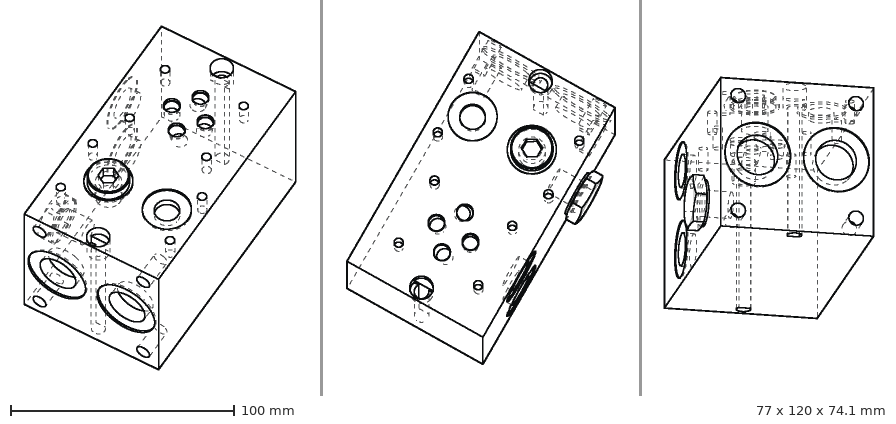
import cadquery as cq
import math

INTO_X = (1, 0, 0)
OUT_X = (-1, 0, 0)
INTO_Y = (0, 1, 0)
UP = (0, 0, 1)
DOWN = (0, 0, -1)

BLOCK_X = 70.0
BLOCK_Y = 120.0
BLOCK_Z = 70.0
MID_X = BLOCK_X / 2
MID_Z = BLOCK_Z / 2

SUPPLY_PITCH = 36.0
SUPPLY_SPOTFACE_DIAMETER = 30.0
SUPPLY_SPOTFACE_DEPTH = 1.0
SUPPLY_BORE_DIAMETER = 18.63
SUPPLY_BORE_DEPTH = 8.0

FLANGE_HOLE_PITCH = 54.0
FLANGE_HOLE_DIAMETER = 6.65
FLANGE_HOLE_DEPTH = 15.0

OUTLET_Y = 85.0
OUTLET_PITCH = 37.0
OUTLET_SPOTFACE_DIAMETER = 26.0
OUTLET_SPOTFACE_DEPTH = 0.5
OUTLET_BORE_DIAMETER = 14.95
OUTLET_BORE_DEPTH = 5.5

TOP_PORT_Y = 35.0
GAUGE_X = 53.5
TOP_SPOTFACE_DIAMETER = 22.0
TOP_SPOTFACE_DEPTH = 1.0
GAUGE_BORE_DIAMETER = 11.45
GAUGE_BORE_DEPTH = 4.5
PLUG_BORE_DIAMETER = 12.0
PLUG_BORE_DEPTH = 12.0

VALVE_X = MID_X
VALVE_Y = OUTLET_Y
VALVE_SCREW_OFFSETS = [(-21.5, -15.5), (-21.5, 15.5), (19.0, -16.25), (19.0, 16.25)]
SCREW_DIAMETER = 4.13
SCREW_DEPTH = 10.0
VALVE_PORT_DIAMETER = 7.5
VALVE_PORT_DEPTH = 1.6
CHANNEL_DIAMETER = 7.0
CHANNEL_FLOOR_DEPTH = 7.0
VALVE_PT_OFFSET_Y = 10.4
VALVE_AB_OFFSET_X = 8.75
PT_TILT = 15.0
B_TILT = 7.0
VALVE_PORTS = [
    (0, VALVE_PT_OFFSET_Y, -PT_TILT),
    (0, -VALVE_PT_OFFSET_Y, PT_TILT),
    (-VALVE_AB_OFFSET_X, 0, 0),
    (VALVE_AB_OFFSET_X, 0, -B_TILT),
]

COVER_PITCH_X = 57.0
COVER_PITCH_Y = 28.0

MOUNT_INSET = 6.0
MOUNT_HOLE_DIAMETER = 6.5
MOUNT_COUNTERBORE_DIAMETER = 10.5
MOUNT_COUNTERBORE_DEPTH = 10.0
MOUNT_SHELF_DEPTH = 5.0
MOUNT_SHELF_OFFSET = 2.0

HEX_PLUG_Y = TOP_PORT_Y
HEX_PLUG_Z = 22.0
HEX_HEAD_FLATS = 22.0
HEX_HEAD_LENGTH = 6.0
HEX_FACE_DIAMETER = 21.0
HEX_CHAMFER_LENGTH = 0.6
RING_DIAMETER = 21.0
RING_THICKNESS = 1.0
HEX_SHANK_DIAMETER = 12.0
HEX_SHANK_DEPTH = 12.0

SOCKET_PLUG_X = 23.0
SOCKET_HEAD_DIAMETER = 19.0
SOCKET_HEAD_PROUD = 4.1
SOCKET_HEAD_CHAMFER = 0.5
SOCKET_FLATS = 8.0
SOCKET_DEPTH = 6.0


def hexagon_diameter(flats):
    """Corner-to-corner size of a hexagon measured across its flats."""
    return flats / math.cos(math.pi / 6)


def rectangle_corners(pitch_x, pitch_y):
    """Four offsets at the corners of a rectangle around the origin."""
    return [(sx * pitch_x / 2, sy * pitch_y / 2) for sx in (-1, 1) for sy in (-1, 1)]


def bore(origin, direction, diameter, depth):
    """Solid cylinder that starts at origin and runs along direction."""
    return cq.Workplane(
        cq.Solid.makeCylinder(diameter / 2, depth, cq.Vector(*origin), cq.Vector(*direction))
    )


def port(origin, direction, spotface, blind_bore):
    """Blind bore with a shallow spotface; each is given as (diameter, depth from the face)."""
    return bore(origin, direction, *spotface).union(bore(origin, direction, *blind_bore))


def supply_face_cuts():
    """Ports T and P and the flange screw holes, all along +Y."""
    spotface = (SUPPLY_SPOTFACE_DIAMETER, SUPPLY_SPOTFACE_DEPTH)
    blind_bore = (SUPPLY_BORE_DIAMETER, SUPPLY_BORE_DEPTH)
    cuts = []
    for side in (-1, 1):
        origin = (MID_X + side * SUPPLY_PITCH / 2, 0, MID_Z)
        cuts.append(port(origin, INTO_Y, spotface, blind_bore))
    for dx, dz in rectangle_corners(FLANGE_HOLE_PITCH, FLANGE_HOLE_PITCH):
        origin = (MID_X + dx, 0, MID_Z + dz)
        cuts.append(bore(origin, INTO_Y, FLANGE_HOLE_DIAMETER, FLANGE_HOLE_DEPTH))
    return cuts


def outlet_face_cuts():
    """Ports A and B, and the shank hole of the hexagon-head plug, all along +X."""
    spotface = (OUTLET_SPOTFACE_DIAMETER, OUTLET_SPOTFACE_DEPTH)
    blind_bore = (OUTLET_BORE_DIAMETER, OUTLET_BORE_DEPTH)
    cuts = []
    for side in (-1, 1):
        origin = (0, OUTLET_Y, MID_Z + side * OUTLET_PITCH / 2)
        cuts.append(port(origin, INTO_X, spotface, blind_bore))
    cuts.append(bore((0, HEX_PLUG_Y, HEX_PLUG_Z), INTO_X, HEX_SHANK_DIAMETER, HEX_SHANK_DEPTH))
    return cuts


def valve_port(dx, dy, tilt):
    """Short upright hole, carried on by a tilted channel that ends at a level floor."""
    x = VALVE_X + dx
    y = VALVE_Y + dy
    mouth = bore((x, y, BLOCK_Z), DOWN, VALVE_PORT_DIAMETER, VALVE_PORT_DEPTH)
    lean = math.radians(tilt)
    direction = (math.sin(lean), 0, -math.cos(lean))
    start = (x - VALVE_PORT_DEPTH * math.tan(lean), y, BLOCK_Z)
    channel = bore(start, direction, CHANNEL_DIAMETER, 2 * CHANNEL_FLOOR_DEPTH)
    level_slab = (
        cq.Workplane("XY", origin=(x, y, BLOCK_Z - VALVE_PORT_DEPTH))
        .rect(BLOCK_X, BLOCK_Y)
        .extrude(VALVE_PORT_DEPTH - CHANNEL_FLOOR_DEPTH)
    )
    return mouth.union(channel.intersect(level_slab))


def mounting_hole(y, inward):
    """Counterbored through hole, half closed by a D-shaped shelf towards the block centre."""
    origin = (MID_X, y, BLOCK_Z)
    hole = bore(origin, DOWN, MOUNT_HOLE_DIAMETER, BLOCK_Z).union(
        bore(origin, DOWN, MOUNT_COUNTERBORE_DIAMETER, MOUNT_COUNTERBORE_DEPTH)
    )
    shelf_y = y + inward * (MOUNT_SHELF_OFFSET + MOUNT_COUNTERBORE_DIAMETER / 2)
    shelf = (
        cq.Workplane("XY", origin=(MID_X, shelf_y, 0))
        .rect(MOUNT_COUNTERBORE_DIAMETER, MOUNT_COUNTERBORE_DIAMETER)
        .extrude(BLOCK_Z - MOUNT_SHELF_DEPTH)
    )
    return hole.cut(shelf)


def top_face_cuts():
    """Valve pattern, gauge port, socket plug port, cover screws and mounting holes."""
    cuts = []
    for dx, dy in VALVE_SCREW_OFFSETS:
        cuts.append(bore((VALVE_X + dx, VALVE_Y + dy, BLOCK_Z), DOWN, SCREW_DIAMETER, SCREW_DEPTH))
    for dx, dy in rectangle_corners(COVER_PITCH_X, COVER_PITCH_Y):
        cuts.append(bore((MID_X + dx, TOP_PORT_Y + dy, BLOCK_Z), DOWN, SCREW_DIAMETER, SCREW_DEPTH))
    for dx, dy, tilt in VALVE_PORTS:
        cuts.append(valve_port(dx, dy, tilt))
    spotface = (TOP_SPOTFACE_DIAMETER, TOP_SPOTFACE_DEPTH)
    gauge_bore = (GAUGE_BORE_DIAMETER, GAUGE_BORE_DEPTH)
    plug_bore = (PLUG_BORE_DIAMETER, PLUG_BORE_DEPTH)
    cuts.append(port((GAUGE_X, TOP_PORT_Y, BLOCK_Z), DOWN, spotface, gauge_bore))
    cuts.append(port((SOCKET_PLUG_X, TOP_PORT_Y, BLOCK_Z), DOWN, spotface, plug_bore))
    cuts.append(mounting_hole(MOUNT_INSET, 1))
    cuts.append(mounting_hole(BLOCK_Y - MOUNT_INSET, -1))
    return cuts


def make_block():
    """Rectangular block with every port and hole cut from it."""
    block = cq.Workplane().box(BLOCK_X, BLOCK_Y, BLOCK_Z, centered=False)
    for tool in supply_face_cuts() + outlet_face_cuts() + top_face_cuts():
        block = block.cut(tool)
    return block


def make_sealing_ring():
    """Flat ring between the hexagon head and the block face."""
    ring = bore((0, HEX_PLUG_Y, HEX_PLUG_Z), OUT_X, RING_DIAMETER, RING_THICKNESS)
    hole = bore((0, HEX_PLUG_Y, HEX_PLUG_Z), OUT_X, HEX_SHANK_DIAMETER, RING_THICKNESS)
    return ring.cut(hole)


def make_hex_plug():
    """Hexagon head, chamfered round both ends, on a plain shank."""
    head = (
        cq.Workplane("YZ", origin=(-RING_THICKNESS, HEX_PLUG_Y, HEX_PLUG_Z))
        .polygon(6, hexagon_diameter(HEX_HEAD_FLATS))
        .extrude(-HEX_HEAD_LENGTH)
    )
    corner_radius = hexagon_diameter(HEX_HEAD_FLATS) / 2
    face_radius = HEX_FACE_DIAMETER / 2
    blank = (
        cq.Workplane("XY", origin=(-RING_THICKNESS, HEX_PLUG_Y, HEX_PLUG_Z))
        .moveTo(0, 0)
        .lineTo(0, face_radius)
        .lineTo(-HEX_CHAMFER_LENGTH, corner_radius)
        .lineTo(HEX_CHAMFER_LENGTH - HEX_HEAD_LENGTH, corner_radius)
        .lineTo(-HEX_HEAD_LENGTH, face_radius)
        .lineTo(-HEX_HEAD_LENGTH, 0)
        .close()
        .revolve(360, (0, 0, 0), (1, 0, 0))
    )
    shank = bore(
        (-RING_THICKNESS, HEX_PLUG_Y, HEX_PLUG_Z), INTO_X,
        HEX_SHANK_DIAMETER, RING_THICKNESS + HEX_SHANK_DEPTH,
    )
    return head.intersect(blank).union(shank)


def make_socket_plug():
    """Round chamfered head with a hexagon socket, seated in the spotface."""
    seat_z = BLOCK_Z - TOP_SPOTFACE_DEPTH
    top_z = BLOCK_Z + SOCKET_HEAD_PROUD
    head = bore(
        (SOCKET_PLUG_X, TOP_PORT_Y, seat_z), UP, SOCKET_HEAD_DIAMETER, top_z - seat_z
    ).faces(">Z").chamfer(SOCKET_HEAD_CHAMFER)
    shank = bore(
        (SOCKET_PLUG_X, TOP_PORT_Y, seat_z), DOWN,
        PLUG_BORE_DIAMETER, PLUG_BORE_DEPTH - TOP_SPOTFACE_DEPTH,
    )
    socket = (
        cq.Workplane("XY", origin=(SOCKET_PLUG_X, TOP_PORT_Y, top_z))
        .transformed(rotate=(0, 0, 90))
        .polygon(6, hexagon_diameter(SOCKET_FLATS))
        .extrude(-SOCKET_DEPTH)
    )
    return head.union(shank).cut(socket)


block = make_block()
sealing_ring = make_sealing_ring()
hex_plug = make_hex_plug()
socket_plug = make_socket_plug()

result = cq.Compound.makeCompound(
    [block.val(), sealing_ring.val(), hex_plug.val(), socket_plug.val()]
)